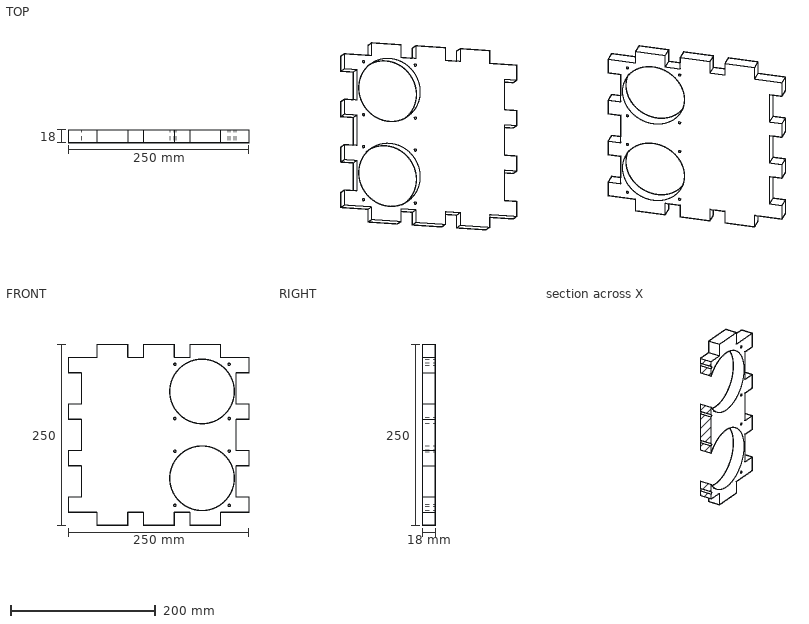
import cadquery as cq

outer_size = 250.0
thickness = 18.0
fan_opening_diameter = 89.0
screw_hole_diameter = 3.0
screw_spacing = 75.0
fan_offset_x = 59.8
fan_offset_z = 60.0

core_size = outer_size - 2 * thickness
finger_module = core_size / 10
finger_pitch = 3 * finger_module
wide_finger = 2 * finger_module

fan_centers = [(fan_offset_x, z) for z in (-fan_offset_z, fan_offset_z)]


def plate(width, height, x=0, z=0):
    """Rectangular plate centred at (x, z), with its thickness along Y."""
    return cq.Workplane("XY").box(width, thickness, height).translate((x, 0, z))


def through_holes(centers, diameter):
    """Cylinders along Y that pass right through the panel."""
    return (
        cq.Workplane("XZ", origin=(0, thickness / 2, 0))
        .pushPoints(centers)
        .circle(diameter / 2)
        .extrude(thickness)
    )


panel = plate(core_size, core_size)
for step in (-1, 0, 1):
    panel = panel.union(plate(wide_finger, outer_size, x=step * finger_pitch))
for step in (-1.5, -0.5, 0.5, 1.5):
    panel = panel.union(plate(outer_size, finger_module, z=step * finger_pitch))
panel = panel.clean()

screw_centers = [
    (x + side_x * screw_spacing / 2, z + side_z * screw_spacing / 2)
    for x, z in fan_centers
    for side_x in (-1, 1)
    for side_z in (-1, 1)
]
panel = panel.cut(through_holes(fan_centers, fan_opening_diameter))
result = panel.cut(through_holes(screw_centers, screw_hole_diameter))